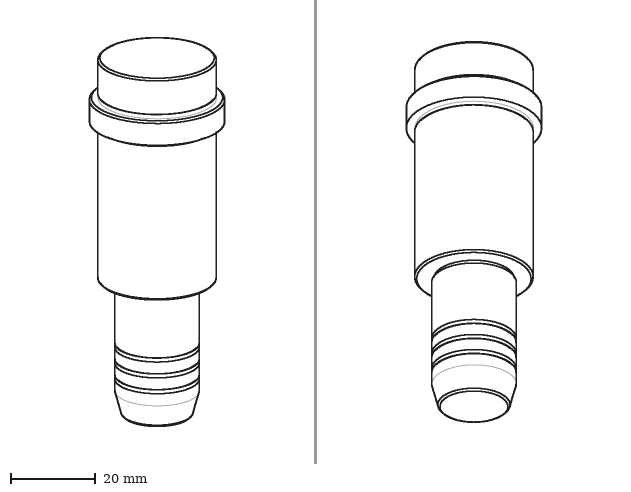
import cadquery as cq
import math

BODY_DIAMETER = 28.0
FLANGE_DIAMETER = 32.0
PILOT_DIAMETER = 20.0

TOTAL_LENGTH = 90.0
HEAD_LENGTH = 10.0
FLANGE_THICKNESS = 6.0
BODY_LENGTH = 40.0

TAPER_LENGTH = 6.0
TAPER_ANGLE = 15.0

CHAMFER = 0.5

GROOVE_RADIUS = 0.5
PILOT_GROOVE_COUNT = 3
PILOT_GROOVE_PITCH = 4.0
LOWEST_GROOVE_OFFSET = 3.5

UNDERCUT_WIDTH = 1.0
UNDERCUT_DEPTH = 0.5

BODY_RADIUS = BODY_DIAMETER / 2
FLANGE_RADIUS = FLANGE_DIAMETER / 2
PILOT_RADIUS = PILOT_DIAMETER / 2
UNDERCUT_RADIUS = PILOT_RADIUS - UNDERCUT_DEPTH
TAPER_SLOPE = math.tan(math.radians(TAPER_ANGLE))
TIP_RADIUS = PILOT_RADIUS - (TAPER_LENGTH - CHAMFER) * TAPER_SLOPE

FLANGE_TOP = TOTAL_LENGTH - HEAD_LENGTH
FLANGE_BOTTOM = FLANGE_TOP - FLANGE_THICKNESS
BODY_BOTTOM = FLANGE_BOTTOM - BODY_LENGTH


def add_groove(outline, radius, centre):
    """Continue the outline upward through one half-round groove."""
    return (
        outline.lineTo(radius, centre - GROOVE_RADIUS)
        .threePointArc((radius - GROOVE_RADIUS, centre), (radius, centre + GROOVE_RADIUS))
    )


def add_pilot(outline):
    """Tapered tip, grooved pilot and the undercut below the body."""
    outline = (
        outline.lineTo(TIP_RADIUS - CHAMFER, 0)
        .lineTo(TIP_RADIUS, CHAMFER)
        .lineTo(PILOT_RADIUS, TAPER_LENGTH)
    )
    for index in range(PILOT_GROOVE_COUNT):
        centre = TAPER_LENGTH + LOWEST_GROOVE_OFFSET + index * PILOT_GROOVE_PITCH
        outline = add_groove(outline, PILOT_RADIUS, centre)
    return (
        outline.lineTo(PILOT_RADIUS, BODY_BOTTOM - UNDERCUT_WIDTH)
        .lineTo(UNDERCUT_RADIUS, BODY_BOTTOM - UNDERCUT_WIDTH)
        .lineTo(UNDERCUT_RADIUS, BODY_BOTTOM)
    )


def add_body(outline):
    """Body with a chamfered lower edge and the groove below the flange."""
    outline = (
        outline.lineTo(BODY_RADIUS - CHAMFER, BODY_BOTTOM)
        .lineTo(BODY_RADIUS, BODY_BOTTOM + CHAMFER)
    )
    return add_groove(outline, BODY_RADIUS, FLANGE_BOTTOM - GROOVE_RADIUS)


def add_flange(outline):
    """Flange with a chamfered upper edge."""
    return (
        outline.lineTo(FLANGE_RADIUS, FLANGE_BOTTOM)
        .lineTo(FLANGE_RADIUS, FLANGE_TOP - CHAMFER)
        .lineTo(FLANGE_RADIUS - CHAMFER, FLANGE_TOP)
    )


def add_head(outline):
    """Groove above the flange and the head with a chamfered upper edge."""
    outline = add_groove(outline, BODY_RADIUS, FLANGE_TOP + GROOVE_RADIUS)
    return (
        outline.lineTo(BODY_RADIUS, TOTAL_LENGTH - CHAMFER)
        .lineTo(BODY_RADIUS - CHAMFER, TOTAL_LENGTH)
        .lineTo(0, TOTAL_LENGTH)
    )


half_section = cq.Workplane("XZ").moveTo(0, 0)
for add_section in (add_pilot, add_body, add_flange, add_head):
    half_section = add_section(half_section)

result = half_section.close().revolve(360, (0, 0), (0, 1))